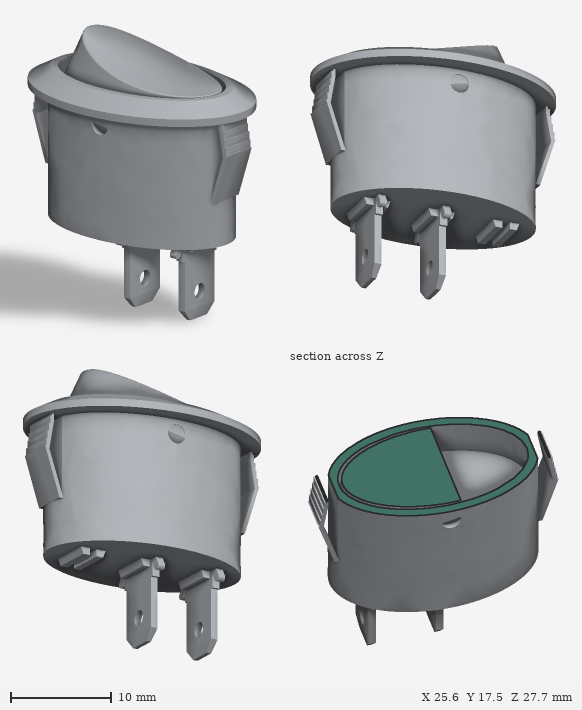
import cadquery as cq
import math


bezel_length = 25.6
bezel_width = 17.5
bezel_edge_height = 0.78
bezel_height = 2.02
bezel_slope_inset = 2.33

opening_length = 19.42
opening_width = 11.4
cavity_floor_z = -3.88

body_length = 21.5
body_width = 13.43
body_depth = 13.5
clip_flat_x = 10.35
clip_ledge_z = -8.7

clip_width = 3.93
clip_root_outer_x = 11.63
clip_root_inner_x = 11.4
clip_root_bottom_z = -0.83
clip_first_tooth_x = 11.83
clip_tooth_step = 0.152
clip_first_tooth_z = -0.25
clip_tooth_pitch = 0.8
clip_tooth_count = 5
clip_bend_inner_x = 11.95
clip_bend_inner_z = -3.77
clip_foot_outer_x = 10.78
clip_foot_inner_x = 10.3

rocker_tilt = 11.0
pivot_z = -1.5
pin_diameter = 2.0
pin_end_inset = 0.08
pin_ramp_angle = 30.0
rocker_base_height = 0.97
rocker_base_length = 18.61
rocker_base_width = 11.08
rocker_top_height = 6.37
rocker_top_length = 16.35
rocker_top_width = 8.75
rocker_top_shift = 0.22
rocker_rim_chamfer = 0.1

dish_radius = 33.75
dish_bottom_x = 9.15
dish_bottom_z = 2.05

boss_pitch = 6.98
boss_length = 4.43
boss_root_width = 2.83
boss_tip_width = 2.3
boss_height = 0.75
boss_slot_width = 0.78
terminal_thickness = 0.78
terminal_width = 4.75
terminal_tip_z = -21.75
terminal_taper_height = 1.15
terminal_tip_width = 2.65
terminal_tip_thickness = 0.5
terminal_hole_diameter = 1.6
terminal_hole_z = -18.97
shoulder_width = 5.4
shoulder_z = -15.32
arm_width = 0.78
arm_end_y = 3.4
arm_end_z = -14.43
arm_angle = 28.0
arm_length = 1.65
terminal_root_depth = 0.55


def oval(length, width, z, height):
    return cq.Workplane("XY").workplane(offset=z).ellipse(length / 2, width / 2).extrude(height)


def oval_loft(lower, upper, z, height, shift=0.0):
    """Straight-sided transition between two ovals given as (length, width)."""
    return (
        cq.Workplane("XY")
        .workplane(offset=z)
        .ellipse(lower[0] / 2, lower[1] / 2)
        .workplane(offset=height)
        .center(shift, 0)
        .ellipse(upper[0] / 2, upper[1] / 2)
        .loft(ruled=True)
    )


def across(points, width):
    """Extrude an XZ outline symmetrically along Y."""
    return cq.Workplane("XZ").polyline(points).close().extrude(width / 2, both=True)


def tilt(shape):
    """Move a shape from the rocker frame to its switched position."""
    return shape.rotate((0, 0, 0), (0, 1, 0), rocker_tilt).translate((0, 0, pivot_z))


def make_bezel():
    edge = oval(bezel_length, bezel_width, 0, bezel_edge_height)
    top_size = (bezel_length - 2 * bezel_slope_inset, bezel_width - 2 * bezel_slope_inset)
    slope = oval_loft(
        (bezel_length, bezel_width), top_size, bezel_edge_height, bezel_height - bezel_edge_height
    )
    return edge.union(slope)


def make_body():
    """Oval body with a flat on each end, down to the ledge that carries the clip foot."""
    body = oval(body_length, body_width, -body_depth, body_depth)
    flat_depth = body_length / 2 - clip_flat_x
    flat = cq.Workplane("XY").box(flat_depth, body_width, -clip_ledge_z)
    for side in (-1, 1):
        flat_center_x = side * (clip_flat_x + flat_depth / 2)
        body = body.cut(flat.translate((flat_center_x, 0, clip_ledge_z / 2)))
    return body


def make_clip():
    """Right-hand clip: toothed upper leg, bend, and a lower leg standing on the ledge."""
    root_z = bezel_edge_height / 2
    points = [(clip_root_inner_x, root_z), (clip_root_outer_x, root_z)]
    previous_x = clip_root_outer_x
    for tooth in range(clip_tooth_count):
        tooth_x = clip_first_tooth_x + tooth * clip_tooth_step
        tooth_z = clip_first_tooth_z - tooth * clip_tooth_pitch
        points += [(previous_x, tooth_z), (tooth_x, tooth_z)]
        previous_x = tooth_x
    points += [
        (clip_foot_outer_x, clip_ledge_z),
        (clip_foot_inner_x, clip_ledge_z),
        (clip_bend_inner_x, clip_bend_inner_z),
        (clip_root_inner_x, clip_root_bottom_z),
    ]
    return across(points, clip_width)


def make_rocker():
    block = tilt(
        oval_loft(
            (rocker_base_length, rocker_base_width),
            (rocker_top_length, rocker_top_width),
            rocker_base_height,
            rocker_top_height - rocker_base_height,
            rocker_top_shift,
        )
    )
    dish = (
        cq.Workplane("XZ")
        .center(dish_bottom_x, dish_bottom_z + dish_radius)
        .circle(dish_radius)
        .extrude(bezel_width / 2, both=True)
    )
    rocker = block.cut(dish)
    rim_edges = rocker.faces("%CYLINDER").edges()
    return rim_edges.chamfer(rocker_rim_chamfer)


def make_pin():
    """Pivot pin with the lower half of each end bevelled, so it snaps into the housing."""
    half_length = body_width / 2 - pin_end_inset
    radius = pin_diameter / 2
    ramp = radius * math.tan(math.radians(pin_ramp_angle))
    rod = cq.Workplane("XZ").circle(radius).extrude(half_length, both=True)
    bevelled = (
        cq.Workplane("YZ")
        .polyline(
            [
                (-half_length, radius),
                (-half_length, 0),
                (-half_length + ramp, -radius),
                (half_length - ramp, -radius),
                (half_length, 0),
                (half_length, radius),
            ]
        )
        .close()
        .extrude(radius, both=True)
    )
    return tilt(rod.intersect(bevelled))


def make_boss():
    root_z = -body_depth
    tip_z = root_z - boss_height
    boss = across(
        [
            (-boss_root_width / 2, root_z),
            (boss_root_width / 2, root_z),
            (boss_tip_width / 2, tip_z),
            (-boss_tip_width / 2, tip_z),
        ],
        boss_length,
    )
    slot = cq.Workplane("XY").box(boss_slot_width, boss_length, boss_height)
    return boss.cut(slot.translate((0, 0, (root_z + tip_z) / 2)))


def make_arm():
    """Round-ended retaining arm leaning outward from the housing on the +Y side."""
    arm = (
        cq.Workplane("YZ")
        .rect(arm_width, arm_length)
        .extrude(terminal_thickness / 2, both=True)
        .translate((0, 0, arm_length / 2))
    )
    end = cq.Workplane("YZ").circle(arm_width / 2).extrude(terminal_thickness / 2, both=True)
    return arm.union(end).rotate((0, 0, 0), (1, 0, 0), arm_angle).translate((0, arm_end_y, arm_end_z))


def make_terminal():
    root_z = -body_depth + terminal_root_depth
    taper_z = terminal_tip_z + terminal_taper_height
    face = (
        cq.Workplane("YZ")
        .polyline(
            [
                (-shoulder_width / 2, root_z),
                (-shoulder_width / 2, shoulder_z),
                (-terminal_width / 2, shoulder_z),
                (-terminal_width / 2, taper_z),
                (-terminal_tip_width / 2, terminal_tip_z),
                (terminal_tip_width / 2, terminal_tip_z),
                (terminal_width / 2, taper_z),
                (terminal_width / 2, shoulder_z),
                (shoulder_width / 2, shoulder_z),
                (shoulder_width / 2, root_z),
            ]
        )
        .close()
        .extrude(terminal_thickness / 2, both=True)
    )
    edge = across(
        [
            (-terminal_thickness / 2, root_z),
            (-terminal_thickness / 2, taper_z),
            (-terminal_tip_thickness / 2, terminal_tip_z),
            (terminal_tip_thickness / 2, terminal_tip_z),
            (terminal_thickness / 2, taper_z),
            (terminal_thickness / 2, root_z),
        ],
        shoulder_width,
    )
    hole = (
        cq.Workplane("YZ")
        .center(0, terminal_hole_z)
        .circle(terminal_hole_diameter / 2)
        .extrude(terminal_thickness, both=True)
    )
    arm = make_arm()
    return face.intersect(edge).cut(hole).union(arm).union(arm.mirror("XZ"))


housing = make_bezel().union(make_body())
housing = housing.cut(oval(opening_length, opening_width, cavity_floor_z, bezel_height - cavity_floor_z))
pivot_hole = cq.Workplane("XZ").center(0, pivot_z).circle(pin_diameter / 2).extrude(body_width, both=True)
housing = housing.cut(pivot_hole)

result = housing.union(make_rocker().union(make_pin()))

clip = make_clip()
result = result.union(clip).union(clip.mirror("YZ"))

for boss_index in (-1, 0, 1):
    result = result.union(make_boss().translate((boss_index * boss_pitch, 0, 0)))

for terminal_index in (0, 1):
    result = result.union(make_terminal().translate((terminal_index * boss_pitch, 0, 0)))